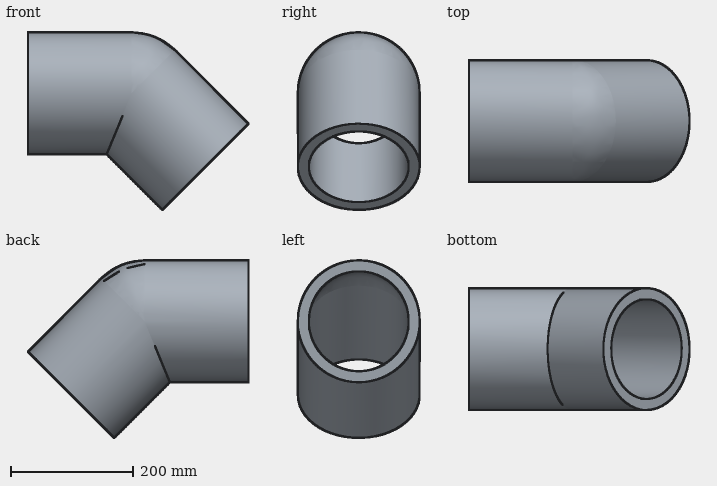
import cadquery as cq
import math

overall_length = 361.8
outer_diameter = 200.0
inner_diameter = 163.5
bend_angle = 45.0

outer_radius = outer_diameter / 2
bend = math.radians(bend_angle)

leg_length = (overall_length - outer_radius * math.sin(bend)) / (1 + math.cos(bend))


def elbow_body(diameter):
    """Solid elbow centred on the bend: two round legs and a spherical wedge between them."""
    radius = diameter / 2
    straight_leg = cq.Workplane("YZ").circle(radius).extrude(-leg_length)
    angled_leg = (
        cq.Workplane("YZ")
        .circle(radius)
        .extrude(leg_length)
        .rotate((0, 0, 0), (0, 1, 0), bend_angle)
    )
    corner = (
        cq.Workplane("YZ")
        .moveTo(-radius, 0)
        .threePointArc((0, radius), (radius, 0))
        .close()
        .revolve(bend_angle, (0, 0), (1, 0))
    )
    return straight_leg.union(angled_leg).union(corner)


result = elbow_body(outer_diameter).cut(elbow_body(inner_diameter))